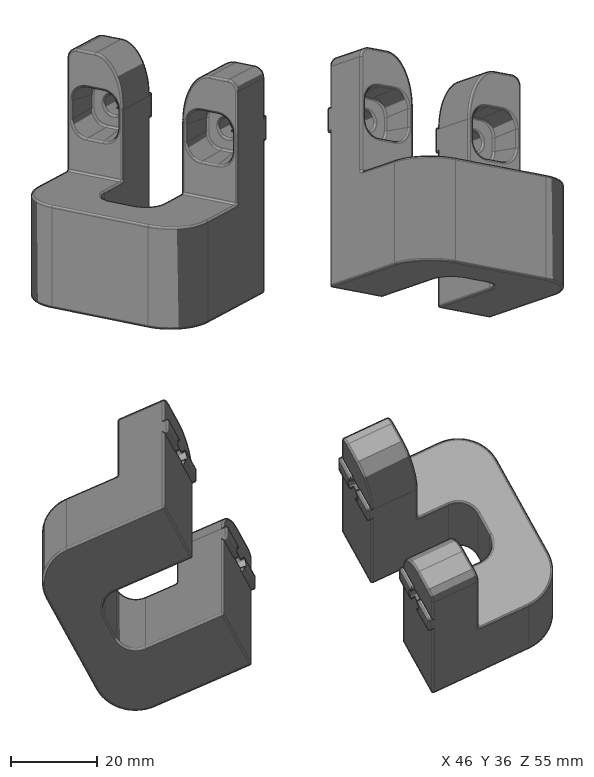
import cadquery as cq
import math

width = 46.0
body_depth = 35.0
back_y = body_depth / 2
base_height = 25.0
total_height = 55.0

slot_width = 16.0
front_wall = 10.0
outer_corner_radius = 10.0
slot_corner_radius = 5.0

arm_width = (width - slot_width) / 2
arm_depth = 12.0
arm_front_y = back_y - arm_depth
arm_corner_radius = 2.5
crown_width = arm_width / 2
crown_height = 12.5
edge_radius = 0.5

hole_x = (width - arm_width) / 2
hole_z = 40.0
hole_diameter = 5.0
recess_mouth_width = 12.5
recess_floor_width = 11.2
recess_corner_radius = 4.0
recess_depth = 8.0

tab_height = 6.0
tab_projection = 1.0
tab_gap = 3.0
tab_width = (arm_width - tab_gap) / 2

SIDES = (-1, 1)


def facing_back(y):
    """Workplane facing +Y at depth y, level with the screw holes; its local x runs along -X."""
    return cq.Workplane(cq.Plane(origin=(0, y, hole_z), xDir=(-1, 0, 0), normal=(0, 1, 0)))


def base():
    """U-shaped block, open toward the back."""
    block = cq.Workplane("XY").box(width, body_depth, base_height, centered=(True, True, False))
    block = block.edges("|Z and <Y").fillet(outer_corner_radius)
    slot_length = body_depth - front_wall
    slot = (
        cq.Workplane("XY")
        .center(0, back_y - slot_length / 2)
        .rect(slot_width, slot_length)
        .extrude(base_height)
        .edges("|Z and <Y")
        .fillet(slot_corner_radius)
    )
    return block.cut(slot)


def arm(side):
    """Upright with a rounded outer corner and an elliptical crown toward the slot."""
    outer_x = side * width / 2
    inner_x = side * slot_width / 2
    crown_x = inner_x + side * crown_width
    corner_center_x = outer_x - side * arm_corner_radius
    corner_center_z = total_height - arm_corner_radius
    diagonal = arm_corner_radius * math.sqrt(0.5)
    return (
        cq.Workplane("XZ", origin=(0, back_y, 0))
        .moveTo(inner_x, 0)
        .lineTo(outer_x, 0)
        .lineTo(outer_x, corner_center_z)
        .threePointArc(
            (corner_center_x + side * diagonal, corner_center_z + diagonal),
            (corner_center_x, total_height),
        )
        .lineTo(crown_x, total_height)
        .ellipseArc(
            crown_width,
            crown_height,
            angle1=90 if side > 0 else 0,
            angle2=180 if side > 0 else 90,
            sense=1 if side > 0 else -1,
            startAtCurrent=True,
        )
        .close()
        .extrude(arm_depth)
    )


def round_body_edges(body):
    """Round the rims of the bottom, base top, arm fronts and back, and the step below the arms."""
    bottom = body.faces("<Z")
    base_top = body.faces("+Z").faces("<Z")
    arm_fronts = body.faces("-Y").faces(">Y")
    back = body.faces(">Y")
    rims = bottom.add(base_top).add(arm_fronts).add(back)
    return rims.edges().fillet(edge_radius)


def rounded_square(size):
    """Outline shared by the mouth and floor of a recess."""
    return cq.Sketch().rect(size, size).vertices().fillet(recess_corner_radius)


def recess_cutter(side):
    """Rounded-square recess narrowing toward its floor, with a rounded floor rim."""
    mouth = rounded_square(recess_mouth_width)
    floor = rounded_square(recess_floor_width).moved(cq.Location(cq.Vector(0, 0, recess_depth)))
    recess = facing_back(arm_front_y).center(-side * hole_x, 0).placeSketch(mouth, floor).loft()
    return recess.faces(">Y").edges().fillet(edge_radius)


def tab(side, direction):
    """Rounded tab on one side of a screw hole, square along its rear edge at the gap."""
    gap_side = "<X" if direction > 0 else ">X"
    tab_depth = tab_projection + edge_radius
    center_x = side * hole_x + direction * (tab_gap + tab_width) / 2
    center_y = back_y + tab_projection - tab_depth / 2
    block = cq.Workplane("XY").box(tab_width, tab_depth, tab_height)
    block = block.edges(f"|Y or (>Y and (not {gap_side}))").fillet(edge_radius)
    return block.translate((center_x, center_y, hole_z))


def seat_edges(body, side, y, reach):
    """Edges centred within reach of the screw axis at depth y."""
    tolerance = 0.1
    corner = (side * hole_x - reach, y - tolerance, hole_z - reach)
    opposite = (side * hole_x + reach, y + tolerance, hole_z + reach)
    return body.edges(cq.selectors.BoxSelector(corner, opposite))


def cut_screw_seat(body, side):
    """Cut one recess and its through hole, rounding the mouth and the hole's rim in the floor."""
    body = body.cut(recess_cutter(side))
    mouth_reach = recess_mouth_width / 2 + edge_radius
    body = seat_edges(body, side, arm_front_y, mouth_reach).fillet(edge_radius)
    hole = (
        facing_back(arm_front_y)
        .center(-side * hole_x, 0)
        .circle(hole_diameter / 2)
        .extrude(arm_depth + tab_projection)
    )
    body = body.cut(hole)
    floor_y = arm_front_y + recess_depth
    return seat_edges(body, side, floor_y, hole_diameter / 2).fillet(edge_radius)


result = base()
for side in SIDES:
    result = result.union(arm(side))
result = round_body_edges(result.clean())
for side in SIDES:
    for direction in SIDES:
        result = result.union(tab(side, direction))
    result = cut_screw_seat(result, side)